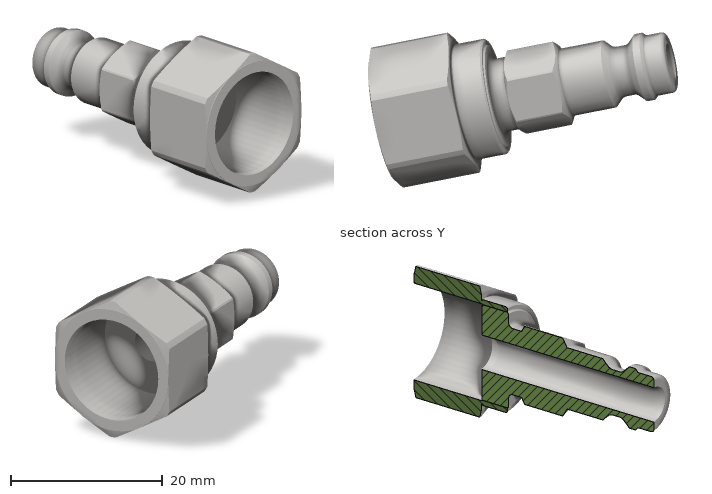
import cadquery as cq
import math

total_length = 39.0

tip_fillet = 0.6
collar_start = 2.6
collar_full = 3.1
collar_end = 4.05
front_cone_end = 4.95
neck_start = 5.65
neck_end = 6.7
rear_cone_start = 7.4
body_start = 8.35
plug_hex_start = 14.1
plug_hex_end = 21.53
flange_face = 23.55
flange_chamfer = 0.27
flange_back = 28.0

bore_diameter = 4.95
tip_diameter = 8.1
body_diameter = 9.0
neck_diameter = 6.65
stem_diameter = 9.7
stem_fillet = 0.6
flange_diameter = 14.05
neck_cone_angle = 45.0

plug_hex_flats = 10.02
plug_hex_corner_diameter = 11.43
plug_hex_chamfer_angle = 30.0

nut_start = 23.75
sleeve_diameter = 15.5
sleeve_chamfer = 0.25
nut_hex_start = flange_back
nut_hex_flats = 17.0
nut_hex_corner_diameter = 19.15
nut_hex_chamfer_angle = 13.0
nut_rim_length = 0.08


def hex_section(x_start, x_end, flats, corner_diameter, front_diameter, back_diameter, angle):
    """Hexagon along X, corners toward +-Z, trimmed by a cylinder with a cone at each end."""
    length = x_end - x_start
    across_corners = flats / math.cos(math.radians(30))
    prism = (
        cq.Workplane("YZ", origin=(x_start, 0, 0))
        .transformed(rotate=(0, 0, 90))
        .polygon(6, across_corners)
        .extrude(length)
    )
    slope = math.tan(math.radians(angle))
    corner_radius = corner_diameter / 2
    front_radius = front_diameter / 2
    back_radius = back_diameter / 2
    envelope = (
        cq.Workplane("XY")
        .moveTo(x_start, 0)
        .lineTo(x_start, front_radius)
        .lineTo(x_start + (corner_radius - front_radius) * slope, corner_radius)
        .lineTo(x_end - (corner_radius - back_radius) * slope, corner_radius)
        .lineTo(x_end, back_radius)
        .lineTo(x_end, 0)
        .close()
        .revolve(360, (0, 0, 0), (1, 0, 0))
    )
    return prism.intersect(envelope)


def make_plug():
    """Hollow quick-connect nipple with a hexagon and a flange that sits inside the nut."""
    tip_radius = tip_diameter / 2
    body_radius = body_diameter / 2
    neck_radius = neck_diameter / 2
    stem_radius = stem_diameter / 2
    flange_radius = flange_diameter / 2
    quarter_turn_point = 1 - math.sqrt(0.5)
    cone_slope = math.tan(math.radians(neck_cone_angle))
    front_cone_radius = body_radius - (front_cone_end - collar_end) * cone_slope
    rear_cone_radius = body_radius - (body_start - rear_cone_start) * cone_slope

    turned = (
        cq.Workplane("XY")
        .moveTo(0, 0)
        .lineTo(0, tip_radius - tip_fillet)
        .threePointArc(
            (tip_fillet * quarter_turn_point, tip_radius - tip_fillet * quarter_turn_point),
            (tip_fillet, tip_radius),
        )
        .lineTo(collar_start, tip_radius)
        .lineTo(collar_full, body_radius)
        .lineTo(collar_end, body_radius)
        .lineTo(front_cone_end, front_cone_radius)
        .tangentArcPoint((neck_start, neck_radius), relative=False)
        .lineTo(neck_end, neck_radius)
        .tangentArcPoint((rear_cone_start, rear_cone_radius), relative=False)
        .lineTo(body_start, body_radius)
        .lineTo(plug_hex_start, body_radius)
        .lineTo(plug_hex_end, stem_radius)
        .lineTo(flange_face - stem_fillet, stem_radius)
        .threePointArc(
            (
                flange_face - stem_fillet * quarter_turn_point,
                stem_radius + stem_fillet * quarter_turn_point,
            ),
            (flange_face, stem_radius + stem_fillet),
        )
        .lineTo(flange_face, flange_radius - flange_chamfer)
        .lineTo(flange_face + flange_chamfer, flange_radius)
        .lineTo(flange_back, flange_radius)
        .lineTo(flange_back, 0)
        .close()
        .revolve(360, (0, 0, 0), (1, 0, 0))
    )
    hexagon = hex_section(
        plug_hex_start,
        plug_hex_end,
        plug_hex_flats,
        plug_hex_corner_diameter,
        body_diameter,
        stem_diameter,
        plug_hex_chamfer_angle,
    )
    bore = cq.Workplane("YZ").circle(bore_diameter / 2).extrude(flange_back)
    return turned.union(hexagon).cut(bore)


def make_nut():
    """Hexagon nut with a round sleeve in front and a straight bore that holds the plug flange."""
    rim_start = total_length - nut_rim_length
    sleeve = (
        cq.Workplane("YZ", origin=(nut_start, 0, 0))
        .circle(sleeve_diameter / 2)
        .extrude(nut_hex_start - nut_start)
        .faces("<X or >X")
        .chamfer(sleeve_chamfer)
    )
    hexagon = hex_section(
        nut_hex_start,
        rim_start,
        nut_hex_flats,
        nut_hex_corner_diameter,
        nut_hex_flats,
        nut_hex_flats,
        nut_hex_chamfer_angle,
    )
    rim = (
        cq.Workplane("YZ", origin=(rim_start, 0, 0))
        .circle(nut_hex_flats / 2)
        .extrude(nut_rim_length)
    )
    bore = (
        cq.Workplane("YZ", origin=(nut_start, 0, 0))
        .circle(flange_diameter / 2)
        .extrude(total_length - nut_start)
    )
    return sleeve.union(hexagon).union(rim).cut(bore)


plug = make_plug()
nut = make_nut()
result = cq.Compound.makeCompound([plug.val(), nut.val()])